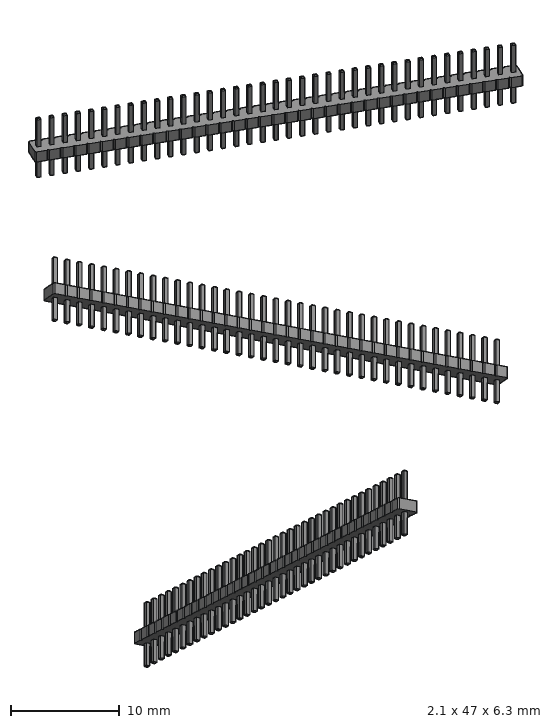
import cadquery as cq

length = 47.0
pin_count = 37
body_width = 2.1
body_height = 1.1
total_height = 6.3
pin_length_above = 2.95
pin_width = 0.4
tip_chamfer = 0.105
notch_depth = 0.125
notch_half_width = notch_depth

pitch = length / pin_count
pin_bottom = body_height + pin_length_above - total_height


def make_body():
    """Plain bar that carries the row of pins."""
    return cq.Workplane("XY").box(body_width, length, body_height, centered=(True, True, False))


def make_notches():
    """Vertical V-notches in both long sides, at each cell boundary and at the four corners."""
    diamond = [
        (-notch_depth, 0),
        (0, -notch_half_width),
        (notch_depth, 0),
        (0, notch_half_width),
    ]
    notch = cq.Workplane("XY").polyline(diamond).close().extrude(body_height).val()
    return (
        cq.Workplane("XY")
        .rarray(body_width, pitch, 2, pin_count + 1)
        .eachpoint(lambda location: notch.located(location))
    )


def make_pins():
    """One row of square pins with tapered tips, one pin in the middle of each cell."""
    pin = (
        cq.Workplane("XY", origin=(0, 0, pin_bottom))
        .rect(pin_width, pin_width)
        .extrude(total_height)
        .faces("<Z or >Z")
        .chamfer(tip_chamfer)
        .val()
    )
    return (
        cq.Workplane("XY")
        .rarray(pitch, pitch, 1, pin_count)
        .eachpoint(lambda location: pin.located(location))
    )


result = make_body().cut(make_notches()).union(make_pins())